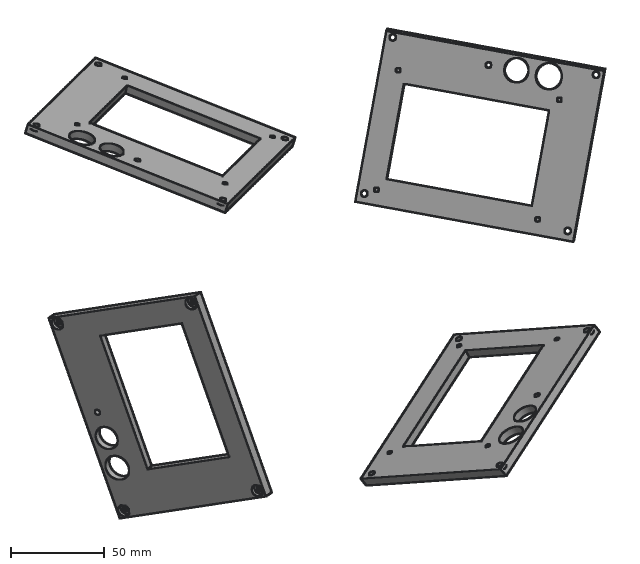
import cadquery as cq
import math

tilt_angle = 27.4
panel_width = 119.0
panel_length = 92.9
panel_thickness = 5.0
end_bevel_angle = tilt_angle / 2
end_shift = panel_thickness * math.tan(math.radians(end_bevel_angle))

screw_margin = 4.0
screw_spacing_x = panel_width - 2 * screw_margin
screw_spacing_y = panel_length - 2 * screw_margin
screw_hole_diameter = 3.4
screw_head_diameter = 6.5
screw_head_depth = 3.0

display_center_x = 5.5
display_center_y = 6.8
window_width = 79.3
window_length = 51.8
display_hole_spacing_x = 88.0
display_hole_spacing_y = 65.0
display_hole_diameter = 2.5
display_hole_depth = 4.0

control_row_y = -37.15
control_holes = [
    (-30.7, 14.0),
    (-13.0, 13.0),
    (2.3, 3.0),
]


def make_plate():
    """Plate with parallel bevelled ends, its top face shifted toward +y."""
    half_length = panel_length / 2
    side_outline = [
        (-half_length, 0),
        (half_length, 0),
        (half_length + end_shift, panel_thickness),
        (-half_length + end_shift, panel_thickness),
    ]
    return (
        cq.Workplane("YZ")
        .polyline(side_outline)
        .close()
        .extrude(panel_width / 2, both=True)
    )


def cylinders(points, diameter, bottom, height):
    """Upright cylinders at the given plate positions."""
    return (
        cq.Workplane("XY", origin=(0, 0, bottom))
        .pushPoints(points)
        .circle(diameter / 2)
        .extrude(height)
    )


def rectangle_corners(center_x, center_y, spacing_x, spacing_y):
    """Four positions at the corners of a rectangle about the given centre."""
    return [
        (center_x + side_x * spacing_x / 2, center_y + side_y * spacing_y / 2)
        for side_x in (-1, 1)
        for side_y in (-1, 1)
    ]


def cut_screw_holes(plate):
    """Corner through holes with counterbores from the underside."""
    points = rectangle_corners(0, 0, screw_spacing_x, screw_spacing_y)
    plate = plate.cut(cylinders(points, screw_hole_diameter, 0, panel_thickness))
    return plate.cut(cylinders(points, screw_head_diameter, 0, screw_head_depth))


def cut_display_opening(plate):
    """Rectangular window and four blind holes in the top face."""
    window = (
        cq.Workplane("XY")
        .center(display_center_x, display_center_y)
        .rect(window_width, window_length)
        .extrude(panel_thickness)
    )
    points = rectangle_corners(
        display_center_x, display_center_y, display_hole_spacing_x, display_hole_spacing_y
    )
    hole_bottom = panel_thickness - display_hole_depth
    holes = cylinders(points, display_hole_diameter, hole_bottom, display_hole_depth)
    return plate.cut(window).cut(holes)


def cut_control_holes(plate):
    """Through holes of different diameters in one row."""
    for x, diameter in control_holes:
        plate = plate.cut(cylinders([(x, control_row_y)], diameter, 0, panel_thickness))
    return plate


panel = make_plate()
panel = cut_screw_holes(panel)
panel = cut_display_opening(panel)
panel = cut_control_holes(panel)
result = panel.rotate((0, 0, 0), (1, 0, 0), -tilt_angle)